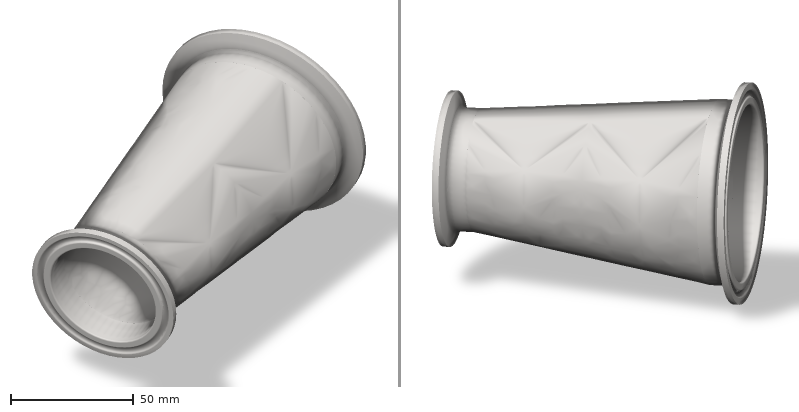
import cadquery as cq
import math

overall_length = 127.0
ferrule_length = 12.7
wall = 1.7
small_tube_radius = 25.4
large_tube_radius = 38.1
small_flange_radius = 32.0
large_flange_radius = 45.5

rim_thickness = 2.8
flange_slope = 20.0
neck_fillet = 1.59
bore_round = 0.6
groove_radius = 1.4
groove_offset = 2.9
groove_edge_round = 0.5

axis_offset = large_tube_radius - small_tube_radius
cone_length = overall_length - 2 * ferrule_length


def circle_edges(ring, radius, height):
    """Circular edges of a ring about Y with the given radius and Y position."""
    tolerance = 0.001
    return [
        edge for edge in ring.Edges()
        if edge.geomType() == "CIRCLE"
        and abs(edge.radius() - radius) < tolerance
        and abs(edge.Center().y - height) < tolerance
    ]


def make_ferrule(tube_radius, flange_radius):
    """Ferrule about Y, with its sealing face at Y = 0 and its tube towards +Y."""
    bore_radius = tube_radius - wall
    slope_rise = (flange_radius - tube_radius) * math.tan(math.radians(flange_slope))
    neck_height = rim_thickness + slope_rise
    groove_center = tube_radius + groove_offset
    groove_inner = groove_center - groove_radius
    groove_outer = groove_center + groove_radius
    profile = (
        cq.Workplane("XY")
        .moveTo(bore_radius, 0)
        .lineTo(groove_inner, 0)
        .threePointArc((groove_center, groove_radius), (groove_outer, 0))
        .lineTo(flange_radius, 0)
        .lineTo(flange_radius, rim_thickness)
        .lineTo(tube_radius, neck_height)
        .lineTo(tube_radius, ferrule_length)
        .lineTo(bore_radius, ferrule_length)
        .close()
    )
    ferrule = profile.revolve(360, (0, 0, 0), (0, 1, 0)).val()
    rounds = [
        (tube_radius, neck_height, neck_fillet),
        (bore_radius, 0, bore_round),
        (groove_inner, 0, groove_edge_round),
        (groove_outer, 0, groove_edge_round),
    ]
    for edge_radius, edge_height, round_radius in rounds:
        ferrule = ferrule.fillet(round_radius, circle_edges(ferrule, edge_radius, edge_height))
    return cq.Workplane(obj=ferrule)


def make_oblique_cone(small_radius, large_radius):
    """Solid cone between the offset small circle and the large circle on the Y axis."""
    along_y = cq.Vector(0, 1, 0)
    small_center = cq.Vector(-axis_offset, ferrule_length, 0)
    large_center = cq.Vector(0, ferrule_length + cone_length, 0)
    small_end = cq.Wire.makeCircle(small_radius, small_center, along_y)
    large_end = cq.Wire.makeCircle(large_radius, large_center, along_y)
    return cq.Workplane(obj=cq.Solid.makeLoft([small_end, large_end], True))


small_ferrule = make_ferrule(small_tube_radius, small_flange_radius).translate((-axis_offset, 0, 0))

large_ferrule = (
    make_ferrule(large_tube_radius, large_flange_radius)
    .rotate((0, 0, 0), (0, 0, 1), 180)
    .translate((0, overall_length, 0))
)

reducer_cone = make_oblique_cone(small_tube_radius, large_tube_radius).cut(
    make_oblique_cone(small_tube_radius - wall, large_tube_radius - wall)
)

result = cq.Compound.makeCompound([small_ferrule.val(), reducer_cone.val(), large_ferrule.val()])